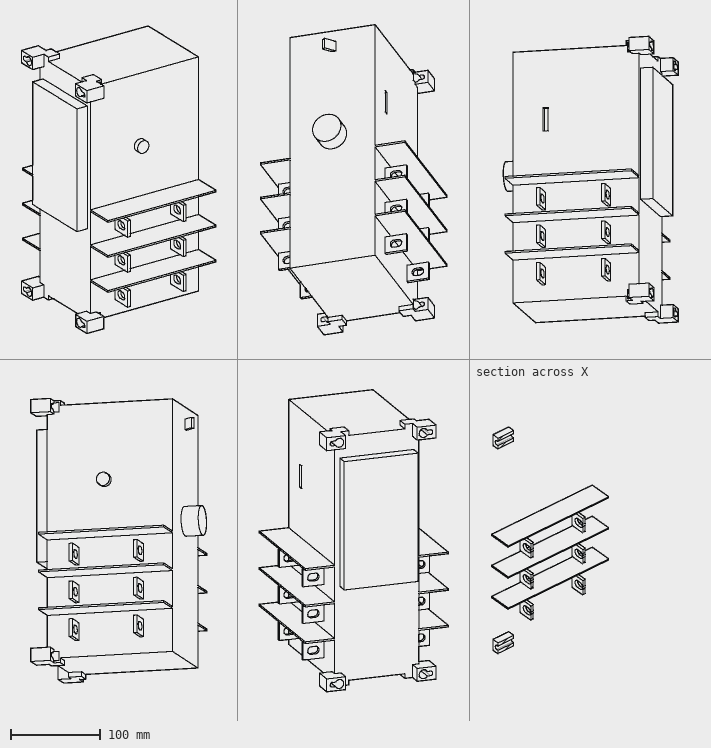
import cadquery as cq
import math


overall_height = 297.0
body_width = 100.0
body_depth = 145.2
foot_lip = 5.3
body_height = overall_height - 2 * foot_lip
cover_width = 88.0
cover_depth = 14.0
cover_height = 150.0
cover_top = 118.0

foot_height = 15.0
foot_front = 14.8
foot_half_span = 65.0
pad_inner_x = 42.5
pad_side_depth = 8.0
arm_inner_x = 33.3
arm_depth = 15.0
keyhole_diameter = 10.5
keyhole_slot_width = 5.3
keyhole_end_x = 61.0
keyhole_depth_in_body = 13.5

pole_count = 3
pole_pitch = 42.8
first_barrier_z = -7.7
barrier_span = 170.0
barrier_thickness = 2.0
terminal_reach = 25.2
terminal_height = 20.0
terminal_thickness = 4.0
terminal_ys = (34.7, 109.5)
terminal_hole_width = 13.5
terminal_hole_height = 9.0
terminal_hole_x = 63.0

knob_diameter = 33.3
knob_length = 20.0
knob_z = 13.7
lever_rise = 12.0
lever_thickness = 4.0
lever_height = 12.0
lever_tilt = 51.0
lever_root_x = -1.8
lever_z = 123.5

button_diameter = 15.0
button_length = 6.5
button_y = 66.5
button_z = 55.5
slot_width = 5.5
slot_height = 26.7
slot_depth = 6.0
slot_y = 107.5
slot_z = 64.5


def block(x_min, x_max, y_min, y_max, z_min, z_max):
    """Box given by its limits along the three axes."""
    size = (x_max - x_min, y_max - y_min, z_max - z_min)
    return cq.Workplane().box(*size, centered=False).translate((x_min, y_min, z_min))


def both_sides(shape):
    """The shape together with its mirror image across x = 0."""
    return shape.union(shape.mirror("YZ"))


def all_corners(shape):
    """The upper right shape repeated at the four corners."""
    pair = both_sides(shape)
    return pair.union(pair.mirror("XY"))


def make_body():
    half_width = body_width / 2
    half_height = body_height / 2
    body = block(-half_width, half_width, 0, body_depth, -half_height, half_height)
    cover_half = cover_width / 2
    cover = block(-cover_half, cover_half, -cover_depth, 0, cover_top - cover_height, cover_top)
    return body.union(cover)


def make_foot():
    """Upper right foot: a pad over the body edge and an arm along the top of the body."""
    top = overall_height / 2
    bottom = top - foot_height
    side = body_width / 2
    pad_front = block(pad_inner_x, foot_half_span, -foot_front, 0, bottom, top)
    pad_side = block(side, foot_half_span, 0, pad_side_depth, bottom, top)
    arm = block(arm_inner_x, side, 0, arm_depth, body_height / 2, top)
    return pad_front.union(pad_side).union(arm)


def make_keyhole():
    """Upper right keyhole: a round entry centred on the body side and a slot running outward."""
    length = foot_front + keyhole_depth_in_body
    center_x = body_width / 2
    center_z = overall_height / 2 - foot_height / 2
    plane = cq.Workplane("XZ", origin=(center_x, keyhole_depth_in_body, center_z))
    entry = plane.circle(keyhole_diameter / 2).extrude(length)
    slot_end = keyhole_end_x - keyhole_slot_width / 2 - center_x
    slot_round = plane.center(slot_end, 0).circle(keyhole_slot_width / 2).extrude(length)
    slot = plane.center(slot_end / 2, 0).rect(slot_end, keyhole_slot_width).extrude(length)
    return entry.union(slot).union(slot_round)


def make_barrier(z):
    barrier = cq.Workplane().box(barrier_span, body_depth, barrier_thickness)
    return barrier.translate((0, body_depth / 2, z))


def make_terminal(y, z):
    """Right-hand terminal blade with an oblong bolt hole."""
    side = body_width / 2
    half_thickness = terminal_thickness / 2
    half_height = terminal_height / 2
    blade = block(
        side, side + terminal_reach, y - half_thickness, y + half_thickness, z - half_height, z + half_height
    )
    hole = (
        cq.Workplane("XZ", origin=(terminal_hole_x, y + half_thickness, z))
        .slot2D(terminal_hole_width, terminal_hole_height)
        .extrude(terminal_thickness)
    )
    return blade.cut(hole)


def make_knob():
    plane = cq.Workplane("XZ", origin=(0, body_depth, knob_z))
    return plane.circle(knob_diameter / 2).extrude(-knob_length)


def make_lever():
    """Flat lever leaning toward +x, its root flush with the back face."""
    tilt = math.radians(lever_tilt)
    offset_x = lever_thickness / 2 * math.sin(tilt)
    offset_y = lever_thickness / 2 * math.cos(tilt)
    root_half = lever_thickness / 2 / math.sin(tilt)
    center_rise = lever_rise - offset_y
    tip_x = lever_root_x + center_rise / math.tan(tilt)
    outline = [
        (lever_root_x - root_half, 0),
        (lever_root_x + root_half, 0),
        (tip_x + offset_x, center_rise - offset_y),
        (tip_x - offset_x, center_rise + offset_y),
    ]
    plane = cq.Workplane("XY", origin=(0, body_depth, lever_z))
    return plane.polyline(outline).close().extrude(lever_height / 2, both=True)


def make_button():
    plane = cq.Workplane("YZ", origin=(body_width / 2, button_y, button_z))
    return plane.circle(button_diameter / 2).extrude(button_length)


def make_side_slot():
    plane = cq.Workplane("YZ", origin=(-body_width / 2, slot_y, slot_z))
    return plane.rect(slot_width, slot_height).extrude(slot_depth)


result = make_body().union(all_corners(make_foot())).cut(all_corners(make_keyhole()))
for pole in range(pole_count):
    barrier_z = first_barrier_z - pole * pole_pitch
    result = result.union(make_barrier(barrier_z))
    for terminal_y in terminal_ys:
        terminal = make_terminal(terminal_y, barrier_z - pole_pitch / 2)
        result = result.union(both_sides(terminal))
result = result.union(make_knob()).union(make_lever()).union(make_button())
result = result.cut(make_side_slot())